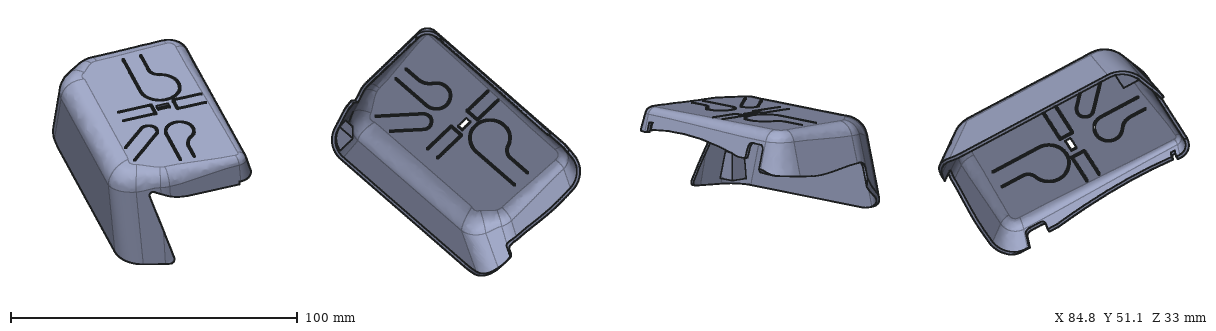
import cadquery as cq
import math

HEIGHT = 33.0
WALL = 1.2
TOP_LEFT_X = 4.5
TOP_RIGHT_X = 76.0
TOP_BACK_Y = 47.55
LEFT_DRAFT = 0.28
RIGHT_DRAFT = 0.269
BACK_DRAFT = 0.268
LEFT_BEVEL_DRAFT = 0.297
RIGHT_BEVEL_DRAFT = 0.279
FRONT_ROUND = 10.3
LEFT_BEND_ROUND = 9.0
BACK_LEFT_ROUND = 6.0
BACK_RIGHT_ROUND = 3.2

LEFT_BEVEL_X = 11.8
RIGHT_BEVEL_X = 70.4
LEFT_BEVEL_Y = 12.65
RIGHT_BEVEL_Y = 17.0

TOP_EDGE_FRONT = 8.1
TOP_EDGE_LEFT = 6.2
TOP_EDGE_BACK_LEFT = 4.9
TOP_EDGE_BACK_RIGHT = 3.1
TOP_EDGE_RIGHT = 6.0

CLEAR = 20.0
OVERLAP = 1.0
FAR_X = TOP_RIGHT_X + CLEAR
FAR_Y = TOP_BACK_Y + CLEAR
MID_X = 40.0
ARC_SAG = 1 - math.sqrt(0.5)

LEFT_CUT_ROUND = 13.2
LEFT_CUT_TOP = 17.5

SKIRT_FRONT_Y = 10.4
SKIRT_ARCH_ROUND = 2.6
SKIRT_ARCH_TOP = 19.0
SKIRT_WAVE = [(22, 18.1), (33, 16.9), (42, 17.5), (49.2, 18.05)]
SKIRT_TIP_MIDDLE = (50.6, 18.8)
SKIRT_TIP_END = (51.1, 20.3)

WING_FOOT = (16.3, 0)
WING_FOOT_MIDDLE = (17.6, 0.8)
WING_TIP = (17.75, 2.2)
WING_ROOT = (11.6, 25)
WING_ARCH_TOP = (12.0, 26.6)
WING_ARCH_END = (13.6, 26.6)
RIGHT_SKIRT_EDGE = [(20, 24.2), (30, 23.5)]

BACK_CUT_Y = 44.0
NOTCH_LEFT_X = 11.0
NOTCH_TOP = 28.0
NOTCH_ROUND = 1.8
NOTCH_FLARE_X = 16.9
NOTCH_FLARE_END = (19.2, 22.5)
BACK_EDGE = [(23, 22.5), (33, 24.5), (48, 26.2), (69.7, 25.6)]
SMALL_NOTCH_END_X = 71.4
BACK_RIGHT_EDGE_Z = 24.5

SLOT_WIDTH = 0.65
SLOT_DEPTH = 2 * WALL
LEFT_KEY = {"center": (30.2, 31.3), "radius": 7.0, "tail_y": 30.8, "tail_end_x": 11.7, "neck_radius": 3.65}
RIGHT_KEY = {"center": (54.9, 30.1), "radius": 4.95, "tail_y": 30.3, "tail_end_x": 69.6, "neck_radius": 5.9}
LEANING_KEY_CENTER = (51.5, 19.8)
LEANING_KEY_RADIUS = 3.0
LEANING_KEY_ANGLE = -47.0
LEANING_KEY_LONG_LEG = 16.2
LEANING_KEY_SHORT_LEG = 11.5
ROCKER_X = 40.7
ROCKER_WIDTH = 4.95
ROCKER_UPPER_SPAN = (43.7, 33.4)
ROCKER_LOWER_SPAN = (13.4, 25.3)
WINDOW_CENTER = (40.4, 29.0)
WINDOW_SIZE = (2.2, 4.4)

RIB_X = 74.0
RIB_DEPTH = 8.0
RIB_BOTTOM = 2.1
RIB_TOP = 12.0


def plan_corners(z, inset):
    """Plan corners at height z as (x, y, bend radius, top edge radius), moved inwards by inset."""
    drop = HEIGHT - z
    left_run = LEFT_DRAFT * drop
    right_run = RIGHT_DRAFT * drop
    back_run = BACK_DRAFT * drop
    left = TOP_LEFT_X - left_run + inset
    right = TOP_RIGHT_X + right_run - inset
    back = TOP_BACK_Y + back_run - inset
    left_lean = math.atan2(LEFT_BEVEL_X - TOP_LEFT_X, LEFT_BEVEL_Y)
    right_lean = math.atan2(TOP_RIGHT_X - RIGHT_BEVEL_X, RIGHT_BEVEL_Y)
    left_inset = inset * (1 / math.cos(left_lean) - math.tan(left_lean))
    right_inset = inset * (1 / math.cos(right_lean) - math.tan(right_lean))
    left_front_x = LEFT_BEVEL_X - LEFT_BEVEL_DRAFT * drop + left_inset
    right_front_x = RIGHT_BEVEL_X + RIGHT_BEVEL_DRAFT * drop - right_inset
    left_bevel_y = inset + (left_front_x - left) / math.tan(left_lean)
    right_bevel_y = inset + (right - right_front_x) / math.tan(right_lean)
    front_round = FRONT_ROUND - inset
    return [
        (left_front_x, inset, front_round, TOP_EDGE_FRONT - inset),
        (right_front_x, inset, front_round, TOP_EDGE_FRONT - inset),
        (right, right_bevel_y, front_round, TOP_EDGE_RIGHT - inset),
        (right, back, BACK_RIGHT_ROUND + back_run - inset, TOP_EDGE_BACK_RIGHT - inset),
        (left, back, BACK_LEFT_ROUND + back_run - inset, TOP_EDGE_BACK_LEFT - inset),
        (left, left_bevel_y, LEFT_BEND_ROUND - inset, TOP_EDGE_LEFT - inset),
    ]


def bend(corners, index):
    """Start, middle and end of the arc that rounds one corner."""
    here = cq.Vector(*corners[index][:2])
    to_last = (cq.Vector(*corners[index - 1][:2]) - here).normalized()
    to_next = (cq.Vector(*corners[(index + 1) % len(corners)][:2]) - here).normalized()
    radius = corners[index][2]
    half_angle = to_last.getAngle(to_next) / 2
    setback = radius / math.tan(half_angle)
    bisector = (to_last + to_next).normalized()
    middle = here + bisector * (radius / math.sin(half_angle) - radius)
    return here + to_last * setback, middle, here + to_next * setback


def outline(z, inset):
    """Closed plan outline at height z."""
    corners = plan_corners(z, inset)
    lift = cq.Vector(0, 0, z)
    bends = []
    for index in range(len(corners)):
        bends.append([point + lift for point in bend(corners, index)])
    edges = []
    for index, (start, middle, end) in enumerate(bends):
        edges.append(cq.Edge.makeThreePointArc(start, middle, end))
        edges.append(cq.Edge.makeLine(end, bends[(index + 1) % len(bends)][0]))
    return cq.Wire.assembleEdges(edges)


def round_top_edge(body, top, inset):
    """Round the edge around the top face with a radius that changes from corner to corner."""
    corners = plan_corners(top, inset)
    rim = body.faces(">Z").edges().vals()
    fillet = cq.occ_impl.shapes.BRepFilletAPI_MakeFillet(body.val().wrapped)
    fillet.Add(rim[0].wrapped)
    chain = 1
    for vertex in body.faces(">Z").vertices().vals():
        place = cq.Vector(vertex.X, vertex.Y, 0)
        nearest = min(corners, key=lambda corner: (cq.Vector(*corner[:2]) - place).Length)
        fillet.SetRadius(nearest[3], chain, vertex.wrapped)
    return cq.Workplane(cq.Shape.cast(fillet.Shape()))


def rounded_body(top, bottom, inset):
    solid = cq.Solid.makeLoft([outline(bottom, inset), outline(top, inset)], True)
    return round_top_edge(cq.Workplane(solid), top, inset)


def shell():
    outer = rounded_body(HEIGHT, 0, 0)
    cavity = rounded_body(HEIGHT - WALL, -OVERLAP, WALL)
    return outer.cut(cavity)


def left_end_cut():
    """Trims the left wall to x = 0 and rounds the lower left end of the front wall."""
    middle = LEFT_CUT_ROUND * ARC_SAG
    return (
        cq.Workplane("XZ", origin=(0, -OVERLAP, 0))
        .moveTo(LEFT_CUT_ROUND, -OVERLAP)
        .lineTo(LEFT_CUT_ROUND, 0)
        .threePointArc((middle, middle), (0, LEFT_CUT_ROUND))
        .lineTo(0, LEFT_CUT_TOP)
        .lineTo(-CLEAR, LEFT_CUT_TOP)
        .lineTo(-CLEAR, -OVERLAP)
        .close()
        .extrude(-FAR_Y)
    )


def left_skirt_cut():
    """Opening under the left skirt: an arch at the front and a gently waved lower edge."""
    arch_end_y = SKIRT_FRONT_Y + SKIRT_ARCH_ROUND
    sag = SKIRT_ARCH_ROUND * ARC_SAG
    tip_end_z = SKIRT_TIP_END[1]
    return (
        cq.Workplane("YZ", origin=(-CLEAR, 0, 0))
        .moveTo(SKIRT_FRONT_Y, -OVERLAP)
        .lineTo(SKIRT_FRONT_Y, SKIRT_ARCH_TOP - SKIRT_ARCH_ROUND)
        .threePointArc((SKIRT_FRONT_Y + sag, SKIRT_ARCH_TOP - sag), (arch_end_y, SKIRT_ARCH_TOP))
        .spline(SKIRT_WAVE, tangents=[(1, 0), (1, 0)], includeCurrent=True)
        .threePointArc(SKIRT_TIP_MIDDLE, SKIRT_TIP_END)
        .lineTo(FAR_Y, tip_end_z)
        .lineTo(FAR_Y, -OVERLAP)
        .close()
        .extrude(CLEAR + MID_X)
    )


def right_skirt_cut():
    """Opening behind the leaning wing of the right wall, arched over the wing's root."""
    foot_y = WING_FOOT[0]
    edge_z = RIGHT_SKIRT_EDGE[-1][1]
    return (
        cq.Workplane("YZ", origin=(MID_X, 0, 0))
        .moveTo(foot_y, -OVERLAP)
        .lineTo(*WING_FOOT)
        .threePointArc(WING_FOOT_MIDDLE, WING_TIP)
        .lineTo(*WING_ROOT)
        .threePointArc(WING_ARCH_TOP, WING_ARCH_END)
        .spline(RIGHT_SKIRT_EDGE, tangents=[(1, -0.3), (1, 0)], includeCurrent=True)
        .lineTo(FAR_Y, edge_z)
        .lineTo(FAR_Y, -OVERLAP)
        .close()
        .extrude(FAR_X - MID_X)
    )


def back_skirt_cut():
    """Lower edge of the back wall, with a wide notch at the left and a small one at the right."""
    corner_x = NOTCH_LEFT_X + NOTCH_ROUND
    sag = NOTCH_ROUND * ARC_SAG
    edge_end_x = BACK_EDGE[-1][0]
    return (
        cq.Workplane("XZ", origin=(0, BACK_CUT_Y, 0))
        .moveTo(NOTCH_LEFT_X, -OVERLAP)
        .lineTo(NOTCH_LEFT_X, NOTCH_TOP - NOTCH_ROUND)
        .threePointArc((NOTCH_LEFT_X + sag, NOTCH_TOP - sag), (corner_x, NOTCH_TOP))
        .lineTo(NOTCH_FLARE_X, NOTCH_TOP)
        .spline([NOTCH_FLARE_END], tangents=[(1, 0), (0.2, -1)], includeCurrent=True)
        .lineTo(*BACK_EDGE[0])
        .spline(BACK_EDGE[1:], includeCurrent=True)
        .lineTo(edge_end_x, NOTCH_TOP)
        .lineTo(SMALL_NOTCH_END_X, NOTCH_TOP)
        .lineTo(SMALL_NOTCH_END_X, BACK_RIGHT_EDGE_Z)
        .lineTo(FAR_X, BACK_RIGHT_EDGE_Z)
        .lineTo(FAR_X, -OVERLAP)
        .close()
        .extrude(-CLEAR)
    )


def slot(path):
    """Round-ended slot through the top along an open path."""
    return path.offset2D(SLOT_WIDTH / 2).extrude(-SLOT_DEPTH)


def top_plane():
    return cq.Workplane("XY", origin=(0, 0, HEIGHT + WALL / 2))


def key_slot(center, radius, tail_y, tail_end_x, neck_radius):
    """Slot around a round key: a loop with a straight lower tail and a flared upper tail."""
    cx, cy = center
    side = math.copysign(1, tail_end_x - cx)
    reach = radius + neck_radius
    neck_y = tail_y + neck_radius
    neck_x = cx + side * math.sqrt(reach ** 2 - (neck_y - cy) ** 2)
    neck = cq.Vector(neck_x, neck_y)
    to_loop = (cq.Vector(cx, cy) - neck).normalized()
    touch = neck + to_loop * neck_radius
    flare_middle = neck + (to_loop + cq.Vector(0, -1)).normalized() * neck_radius
    return slot(
        top_plane()
        .moveTo(tail_end_x, tail_y)
        .lineTo(neck_x, tail_y)
        .threePointArc(flare_middle.toTuple()[:2], touch.toTuple()[:2])
        .threePointArc((cx - side * radius, cy), (cx, cy - radius))
        .lineTo(tail_end_x, cy - radius)
    )


def leaning_slot():
    """U-shaped slot around the slanted key in the front right corner."""
    cx, cy = LEANING_KEY_CENTER
    center = cq.Vector(cx, cy)
    angle = math.radians(LEANING_KEY_ANGLE)
    along = cq.Vector(math.cos(angle), math.sin(angle))
    across = cq.Vector(-along.y, along.x) * LEANING_KEY_RADIUS
    points = [
        center + across + along * LEANING_KEY_LONG_LEG,
        center + across,
        center - along * LEANING_KEY_RADIUS,
        center - across,
        center - across + along * LEANING_KEY_SHORT_LEG,
    ]
    far_end, far_start, crown, near_start, near_end = [point.toTuple()[:2] for point in points]
    return slot(
        top_plane()
        .moveTo(*far_end)
        .lineTo(*far_start)
        .threePointArc(crown, near_start)
        .lineTo(*near_end)
    )


def rocker_slot(end_y, bar_y):
    """Square U-shaped slot around one half of the plus and minus rocker."""
    left = ROCKER_X - ROCKER_WIDTH / 2
    right = ROCKER_X + ROCKER_WIDTH / 2
    return slot(
        top_plane().moveTo(left, end_y).lineTo(left, bar_y).lineTo(right, bar_y).lineTo(right, end_y)
    )


def window():
    return top_plane().center(*WINDOW_CENTER).rect(*WINDOW_SIZE).extrude(-SLOT_DEPTH)


def corner_rib():
    """Short block filling the front right inner corner, trimmed to the outside of the shell."""
    block = (
        cq.Workplane("XY", origin=(RIB_X, 0, RIB_BOTTOM))
        .box(CLEAR, RIB_DEPTH, RIB_TOP - RIB_BOTTOM, centered=False)
    )
    return block.intersect(rounded_body(HEIGHT, 0, WALL / 2))


result = shell().union(corner_rib())
for opening in (left_end_cut(), left_skirt_cut(), right_skirt_cut(), back_skirt_cut()):
    result = result.cut(opening)
result = result.cut(key_slot(**LEFT_KEY))
result = result.cut(key_slot(**RIGHT_KEY))
result = result.cut(leaning_slot())
result = result.cut(rocker_slot(*ROCKER_UPPER_SPAN))
result = result.cut(rocker_slot(*ROCKER_LOWER_SPAN))
result = result.cut(window())